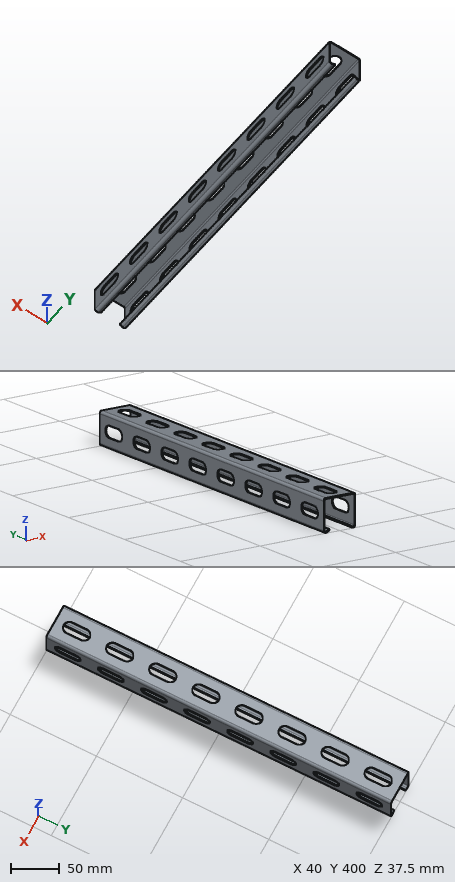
import cadquery as cq
import math

LENGTH = 400.0
WIDTH = 40.0
HEIGHT = 37.5
OUTER_RADIUS = 3.0
THICKNESS = OUTER_RADIUS / 2
INNER_RADIUS = OUTER_RADIUS - THICKNESS
LIP_RISE_ANGLE = 30.0
LIP_LENGTH = 4.0

SLOT_COUNT = 8
SLOT_PITCH = LENGTH / SLOT_COUNT
SLOT_LENGTH = 30.0
SLOT_WIDTH = 13.0

BEND_X = WIDTH / 2 - OUTER_RADIUS
UPPER_BEND = (BEND_X, HEIGHT / 2 - OUTER_RADIUS)
LOWER_BEND = (BEND_X, -HEIGHT / 2 + OUTER_RADIUS)
LIP_NORMAL_ANGLE = -90.0 - LIP_RISE_ANGLE


def around(center, radius, angle):
    """Point at a polar offset from center, angle in degrees."""
    turn = math.radians(angle)
    return (center[0] + radius * math.cos(turn), center[1] + radius * math.sin(turn))


def lip_tip(radius):
    """End of the lip face that leaves the lower bend at this radius."""
    bend_end = around(LOWER_BEND, radius, LIP_NORMAL_ANGLE)
    return around(bend_end, LIP_LENGTH, LIP_NORMAL_ANGLE - 90)


def half_channel():
    """The +X half of the folded sheet, extruded over the full length."""
    outline = (
        cq.Workplane("XZ")
        .moveTo(0, HEIGHT / 2)
        .lineTo(*around(UPPER_BEND, OUTER_RADIUS, 90))
        .threePointArc(around(UPPER_BEND, OUTER_RADIUS, 45), around(UPPER_BEND, OUTER_RADIUS, 0))
        .lineTo(*around(LOWER_BEND, OUTER_RADIUS, 0))
        .threePointArc(
            around(LOWER_BEND, OUTER_RADIUS, LIP_NORMAL_ANGLE / 2),
            around(LOWER_BEND, OUTER_RADIUS, LIP_NORMAL_ANGLE),
        )
        .lineTo(*lip_tip(OUTER_RADIUS))
        .lineTo(*lip_tip(INNER_RADIUS))
        .lineTo(*around(LOWER_BEND, INNER_RADIUS, LIP_NORMAL_ANGLE))
        .threePointArc(
            around(LOWER_BEND, INNER_RADIUS, LIP_NORMAL_ANGLE / 2),
            around(LOWER_BEND, INNER_RADIUS, 0),
        )
        .lineTo(*around(UPPER_BEND, INNER_RADIUS, 0))
        .threePointArc(around(UPPER_BEND, INNER_RADIUS, 45), around(UPPER_BEND, INNER_RADIUS, 90))
        .lineTo(0, HEIGHT / 2 - THICKNESS)
        .close()
    )
    return outline.extrude(LENGTH / 2, both=True)


def web_slots():
    """Row of slot cutters through the top web."""
    return (
        cq.Workplane("XY")
        .rarray(4, SLOT_PITCH, 1, SLOT_COUNT)
        .slot2D(SLOT_LENGTH, SLOT_WIDTH, 90)
        .extrude(HEIGHT)
    )


def wall_slots():
    """Row of slot cutters through both side walls."""
    return (
        cq.Workplane("YZ")
        .rarray(SLOT_PITCH, 4, SLOT_COUNT, 1)
        .slot2D(SLOT_LENGTH, SLOT_WIDTH)
        .extrude(WIDTH, both=True)
    )


right_half = half_channel()
channel = right_half.union(right_half.mirror("YZ"))
result = channel.cut(web_slots()).cut(wall_slots())